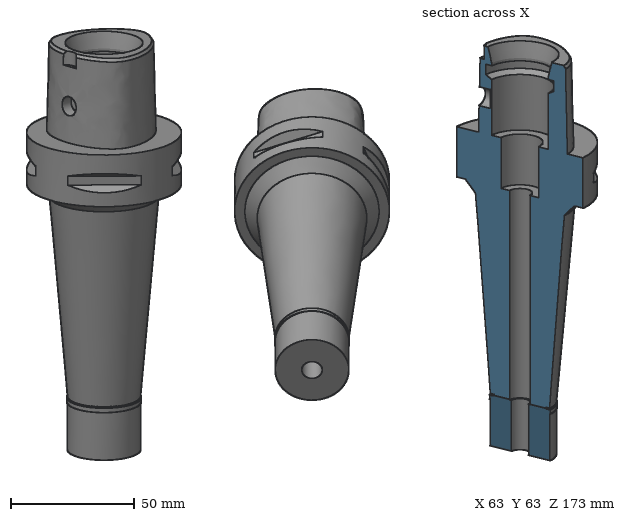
import cadquery as cq
import math

total_height = 173.0
shank_length = 38.0
flange_thickness = 22.0
shoulder_drop = 5.0
flange_top = total_height - shank_length
flange_bottom = flange_top - flange_thickness
shoulder_bottom = flange_bottom - shoulder_drop

nut_height = 22.2
nut_radius = 15.0
collar_height = 1.9
collar_radius = 15.2
nut_bore_radius = 4.15
nut_gap = 0.5

flange_radius = 31.5
shoulder_radius = 22.3
taper_end_radius = 14.9
taper_bottom = nut_height + nut_gap
neck_radius = 13.0

shank_base_diameter = 44.5
shank_taper = 1 / 20
lobe_eccentricity = 1.5
lobe_count = 3
outline_points = 72
shank_chamfer_height = 1.3
shank_chamfer_width = 0.9

mouth_radius = 15.8
bore_radius = 14.0
lip_radius = bore_radius
lip_depth = 6.8
undercut_depth = 8.0
undercut_radius = 16.8
ledge_depth = 12.3
bore_start_depth = 13.9
bore_depth = shank_length
thread_hole_radius = 9.3
thread_hole_depth = 60.0
coolant_hole_radius = 5.0

cross_hole_radius = 4.0
cross_hole_floor_y = -15.0
cross_hole_rise = 15.5
notch_radius = 5.0
notch_axis_y = -23.0
notch_depth = 5.8

slot_count = 4
slot_first_angle = 45.0
slot_drop = 12.0
slot_floor_height = 3.8
slot_floor_distance = 27.75
slot_flank_angle = 30.0
slot_overrun = 1.0


def revolved(profile):
    """Turn a closed (radius, z) profile about the Z axis."""
    return cq.Workplane("XZ").polyline(profile).close().revolve(360, (0, 0, 0), (0, 1, 0))


def lobed_wire(diameter, z):
    """Constant-width three-lobed outline with one lobe pointing along +Y."""

    def point(turn):
        angle = 2 * math.pi * turn
        reach = diameter / 2 - lobe_eccentricity * math.cos(lobe_count * angle)
        slope = lobe_count * lobe_eccentricity * math.sin(lobe_count * angle)
        along = reach * math.cos(angle) - slope * math.sin(angle)
        across = reach * math.sin(angle) + slope * math.cos(angle)
        return cq.Vector(across, -along, z)

    points = [point(index / outline_points) for index in range(outline_points)]
    return cq.Wire.assembleEdges([cq.Edge.makeSpline(points, periodic=True)])


def make_shank():
    """Tapered three-lobed shank with a chamfered top edge."""
    chamfer_z = total_height - shank_chamfer_height
    chamfer_diameter = shank_base_diameter - shank_taper * (chamfer_z - flange_top)
    top_diameter = chamfer_diameter - 2 * shank_chamfer_width
    base = lobed_wire(shank_base_diameter, flange_top)
    chamfer_start = lobed_wire(chamfer_diameter, chamfer_z)
    top = lobed_wire(top_diameter, total_height)
    taper = cq.Solid.makeLoft([base, chamfer_start], True)
    chamfer = cq.Solid.makeLoft([chamfer_start, top], True)
    return cq.Workplane("XY").newObject([taper]).union(cq.Workplane("XY").newObject([chamfer]))


def make_flange_and_taper():
    """Flange, 45 degree shoulder, long taper and the neck behind the nut."""
    return revolved([
        (0, flange_top),
        (flange_radius, flange_top),
        (flange_radius, flange_bottom),
        (shoulder_radius + shoulder_drop, flange_bottom),
        (shoulder_radius, shoulder_bottom),
        (taper_end_radius, taper_bottom),
        (neck_radius, taper_bottom),
        (neck_radius, nut_height),
        (0, nut_height),
    ])


def make_cavity():
    """Stepped bore from the shank's top face down through the neck."""
    steps = [
        (mouth_radius, 0),
        (lip_radius, lip_depth),
        (lip_radius, undercut_depth),
        (undercut_radius, undercut_depth),
        (undercut_radius, ledge_depth),
        (bore_radius, bore_start_depth),
        (bore_radius, bore_depth),
        (thread_hole_radius, bore_depth),
        (thread_hole_radius, thread_hole_depth),
        (coolant_hole_radius, thread_hole_depth),
    ]
    profile = [(0, total_height)]
    profile += [(radius, total_height - depth) for radius, depth in steps]
    profile += [(coolant_hole_radius, nut_height), (0, nut_height)]
    return revolved(profile)


def make_cross_hole():
    """Blind radial hole with a flat floor, entering the shank from the -Y side."""
    return (
        cq.Workplane("XZ", origin=(0, cross_hole_floor_y, flange_top + cross_hole_rise))
        .circle(cross_hole_radius)
        .extrude(shank_base_diameter / 2)
    )


def make_notch():
    """Round-backed notch in the top edge on the -Y side."""
    return (
        cq.Workplane("XY", origin=(0, notch_axis_y, total_height - notch_depth))
        .circle(notch_radius)
        .extrude(notch_depth)
    )


def make_slot(angle):
    """Straight slot with sloped flanks, cut across the flange rim at the given angle."""
    outer_distance = flange_radius + slot_overrun
    floor_half = slot_floor_height / 2
    flank_rise = (outer_distance - slot_floor_distance) * math.tan(math.radians(slot_flank_angle))
    mouth_half = floor_half + flank_rise
    return (
        cq.Workplane("XZ", origin=(0, 0, flange_top - slot_drop))
        .polyline([
            (slot_floor_distance, -floor_half),
            (outer_distance, -mouth_half),
            (outer_distance, mouth_half),
            (slot_floor_distance, floor_half),
        ])
        .close()
        .extrude(flange_radius, both=True)
        .rotate((0, 0, 0), (0, 0, 1), angle)
    )


def make_holder():
    """Shank, flange and taper as one solid, with all its cuts."""
    holder = make_flange_and_taper().union(make_shank())
    holder = holder.cut(make_cavity()).cut(make_cross_hole()).cut(make_notch())
    for index in range(slot_count):
        holder = holder.cut(make_slot(slot_first_angle + index * 360 / slot_count))
    return holder.solids()


def make_nut():
    """Cylindrical nut with a slightly wider collar at its top and a through bore."""
    collar_bottom = nut_height - collar_height
    return revolved([
        (nut_bore_radius, 0),
        (nut_radius, 0),
        (nut_radius, collar_bottom),
        (collar_radius, collar_bottom),
        (collar_radius, nut_height),
        (nut_bore_radius, nut_height),
    ])


holder = make_holder()
nut = make_nut()
result = cq.Compound.makeCompound([holder.val(), nut.val()])